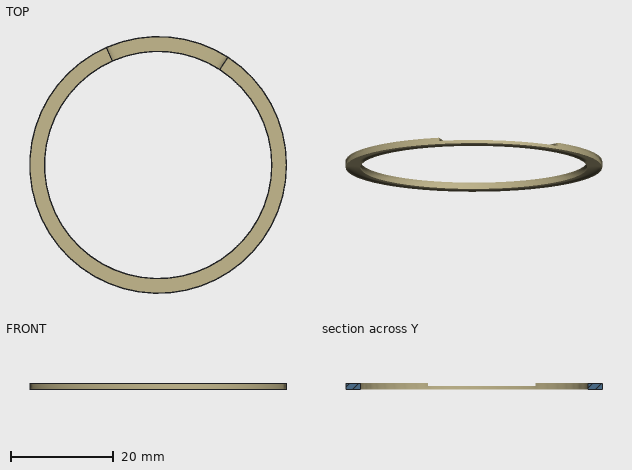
import cadquery as cq
import math

OUTER_DIAMETER = 50.0
INNER_DIAMETER = 44.2
HEIGHT = 1.25
LAYER_HEIGHT = HEIGHT / 2

GAP_START_ANGLE = 57.1
GAP_END_ANGLE = 113.8


def polar_point(radius, angle):
    """Point in the ring plane at a radius and an angle in degrees."""
    radians = math.radians(angle)
    return (radius * math.cos(radians), radius * math.sin(radians))


def full_ring():
    """Plain flat ring of full height, resting on Z = 0."""
    return (
        cq.Workplane("XY")
        .circle(OUTER_DIAMETER / 2)
        .circle(INNER_DIAMETER / 2)
        .extrude(HEIGHT)
    )


def gap_cutter():
    """Wedge covering the opening in the upper layer, wider than the ring."""
    reach = OUTER_DIAMETER
    middle_angle = (GAP_START_ANGLE + GAP_END_ANGLE) / 2
    return (
        cq.Workplane("XY")
        .workplane(offset=LAYER_HEIGHT)
        .lineTo(*polar_point(reach, GAP_START_ANGLE))
        .threePointArc(polar_point(reach, middle_angle), polar_point(reach, GAP_END_ANGLE))
        .close()
        .extrude(LAYER_HEIGHT)
    )


result = full_ring().cut(gap_cutter())